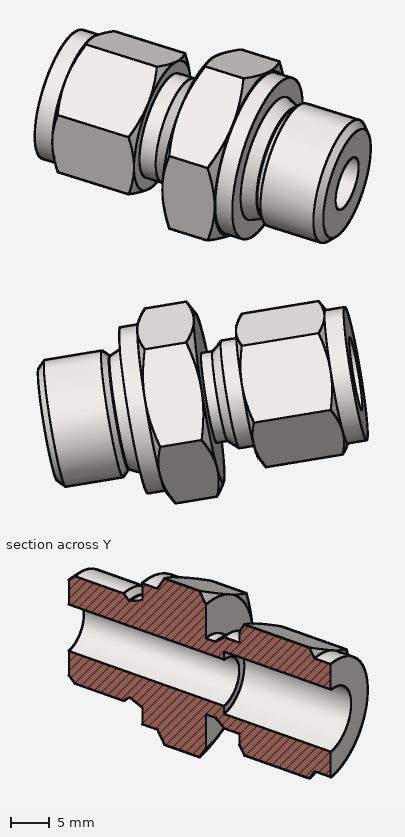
import cadquery as cq
import math

collar_end = 2.5
nut_end = 14.15
barrel_end = 16.45
neck_start = 17.78
hex_start = 19.25
hex_end = 26.65
flange_end = 29.1
groove_floor_start = 30.95
groove_floor_end = 31.05
thread_start = 31.9
total_length = 40.4

nut_flats = 17.5
collar_radius = nut_flats / 2
hex_flats = 22.2
barrel_radius = 7.05
neck_radius = 5.9
flange_radius = 10.9
thread_radius = 8.32
bore_radius = 3.55
socket_radius = 4.75
socket_depth = barrel_end

thread_chamfer = 0.95
groove_radius = thread_radius - (thread_start - groove_floor_end)
corner_angle = math.radians(30)


def revolve_about_x(points):
    """Solid of revolution about X from a closed outline of (x, radius) points."""
    return cq.Workplane("XY").polyline(points).close().revolve(360, (0, 0, 0), (1, 0, 0))


def cylinder(x_start, x_end, radius):
    return cq.Workplane("YZ", origin=(x_start, 0, 0)).circle(radius).extrude(x_end - x_start)


def chamfered_hexagon(x_start, x_end, flats):
    """Hexagon with corners up and down, its end corners cut back by cones."""
    face_radius = flats / 2
    corner_radius = face_radius / math.cos(math.pi / 6)
    setback = (corner_radius - face_radius) * math.tan(corner_angle)
    prism = (
        cq.Workplane("YZ", origin=(x_start, 0, 0))
        .transformed(rotate=(0, 0, 90))
        .polygon(6, 2 * corner_radius)
        .extrude(x_end - x_start)
    )
    envelope = revolve_about_x([
        (x_start, 0),
        (x_start, face_radius),
        (x_start + setback, corner_radius),
        (x_end - setback, corner_radius),
        (x_end, face_radius),
        (x_end, 0),
    ])
    return prism.intersect(envelope)


core = revolve_about_x([
    (0, 0),
    (0, collar_radius),
    (collar_end, collar_radius),
    (collar_end, barrel_radius),
    (barrel_end, barrel_radius),
    (neck_start, neck_radius),
    (hex_start, neck_radius),
    (hex_start, flange_radius),
    (flange_end, flange_radius),
    (flange_end, thread_radius),
    (groove_floor_start, groove_radius),
    (groove_floor_end, groove_radius),
    (thread_start, thread_radius),
    (total_length - thread_chamfer, thread_radius),
    (total_length, thread_radius - thread_chamfer),
    (total_length, 0),
])

nut = chamfered_hexagon(collar_end, nut_end, nut_flats)
body_hex = chamfered_hexagon(hex_start, hex_end, hex_flats)

bore = cylinder(0, total_length, bore_radius)
socket = cylinder(0, socket_depth, socket_radius)

result = core.union(nut).union(body_hex).cut(bore).cut(socket)